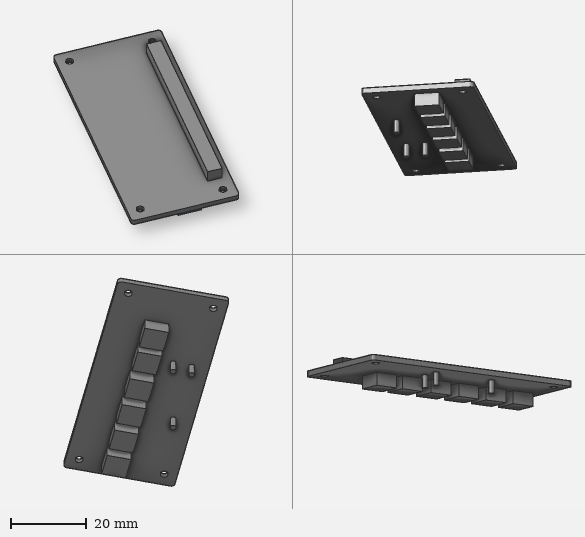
import cadquery as cq

board_length = 65.0
board_width = 30.0
board_thickness = 1.5
corner_radius = 1.0

hole_diameter = 2.0
hole_x = 29.05
hole_y = 11.5
inboard_hole_x = 28.9
hole_centres = [
    (-hole_x, hole_y),
    (hole_x, hole_y),
    (-hole_x, -hole_y),
    (inboard_hole_x, -hole_y),
]

header_length = 50.2
header_width = 4.0
header_height = 3.5
header_x = -0.2
header_y = 10.65

underside_height = 3.5
block_side = 6.5
block_row_y = 2.0
block_centres_x = [-18.0, -9.7, -0.3, 8.7, 17.6, 26.45]
pin_diameter = 1.5
pin_centres = [(-8.5, -5.3), (-8.5, -10.35), (10.1, -9.6)]


def make_board():
    """Rounded plate with its mounting holes."""
    plate = (
        cq.Workplane("XY")
        .rect(board_length, board_width)
        .extrude(board_thickness)
        .edges("|Z")
        .fillet(corner_radius)
    )
    holes = (
        cq.Workplane("XY")
        .pushPoints(hole_centres)
        .circle(hole_diameter / 2)
        .extrude(board_thickness)
    )
    return plate.cut(holes)


def make_header():
    """Long rectangular strip standing on the top face."""
    return (
        cq.Workplane("XY", origin=(header_x, header_y, board_thickness))
        .rect(header_length, header_width)
        .extrude(header_height)
    )


def make_blocks():
    """Square blocks hanging in one row below the board."""
    centres = [(x, block_row_y) for x in block_centres_x]
    return (
        cq.Workplane("XY")
        .pushPoints(centres)
        .rect(block_side, block_side)
        .extrude(-underside_height)
    )


def make_pins():
    """Round pins hanging below the board."""
    return (
        cq.Workplane("XY")
        .pushPoints(pin_centres)
        .circle(pin_diameter / 2)
        .extrude(-underside_height)
    )


result = make_board().union(make_header()).union(make_blocks()).union(make_pins())